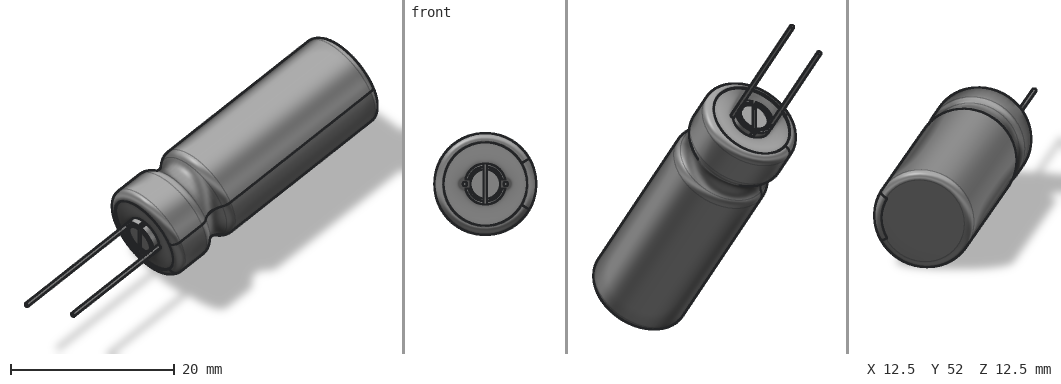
import cadquery as cq
import math

LONGEST_SIDE = 52.0

CAN_RADIUS = 6.25
LONG_LEAD_REACH = 17.65
CAN_LENGTH = LONGEST_SIDE - LONG_LEAD_REACH
EDGE_FILLET = 1.0
LIP_WIDTH = 0.15
OPENING_RADIUS = CAN_RADIUS - EDGE_FILLET - LIP_WIDTH
STRIPE_HALF_ANGLE = 30.0

CRIMP_Y = 7.05
CRIMP_DEPTH = 1.05
CRIMP_HALF_WIDTH = 2.45
NECK_HALF_WIDTH = 1.4

BASE_SETBACK = 0.2
BASE_THICKNESS = 1.05
BASE_INNER_Y = BASE_SETBACK + BASE_THICKNESS

BOSS_RADIUS = 2.5
BOSS_REACH = 0.75
BOSS_HEIGHT = BOSS_REACH + BASE_SETBACK
RING_INNER_RADIUS = 2.15
CENTRE_RADIUS = 1.8
GROOVE_DEPTH = 0.45
SLOT_WIDTH = 0.45
SLOT_FLOOR_HEIGHT = 0.1
SLOT_DEPTH = BOSS_HEIGHT - SLOT_FLOOR_HEIGHT
LEAD_NOTCH_WIDTH = 1.05

LEAD_OFFSET = 2.5
LEAD_RADIUS = 0.25
SHORT_LEAD_REACH = 14.6


def cylinder_along_y(radius, y_start, y_end):
    """Cylinder on the Y axis, from y_start up to y_end."""
    return cq.Workplane("XZ", origin=(0, y_start, 0)).circle(radius).extrude(y_start - y_end)


def can_envelope():
    """Solid of revolution with rounded ends and the crimp."""
    arc_angle = 2 * math.atan(CRIMP_DEPTH / CRIMP_HALF_WIDTH)
    neck_arc = NECK_HALF_WIDTH / math.sin(arc_angle)
    shoulder_arc = (CRIMP_HALF_WIDTH - NECK_HALF_WIDTH) / math.sin(arc_angle)
    neck_radius = CAN_RADIUS - CRIMP_DEPTH
    blend_radius = neck_radius + neck_arc * (1 - math.cos(arc_angle))

    shoulder_mid_radius = CAN_RADIUS - shoulder_arc * (1 - math.cos(arc_angle / 2))
    shoulder_mid_offset = CRIMP_HALF_WIDTH - shoulder_arc * math.sin(arc_angle / 2)

    end_radius = CAN_RADIUS - EDGE_FILLET
    fillet_inset = EDGE_FILLET * (1 - math.sqrt(0.5))
    fillet_mid_radius = CAN_RADIUS - fillet_inset

    profile = (
        cq.Workplane("XY")
        .lineTo(end_radius, 0)
        .threePointArc((fillet_mid_radius, fillet_inset), (CAN_RADIUS, EDGE_FILLET))
        .lineTo(CAN_RADIUS, CRIMP_Y - CRIMP_HALF_WIDTH)
        .threePointArc(
            (shoulder_mid_radius, CRIMP_Y - shoulder_mid_offset),
            (blend_radius, CRIMP_Y - NECK_HALF_WIDTH),
        )
        .threePointArc((neck_radius, CRIMP_Y), (blend_radius, CRIMP_Y + NECK_HALF_WIDTH))
        .threePointArc(
            (shoulder_mid_radius, CRIMP_Y + shoulder_mid_offset),
            (CAN_RADIUS, CRIMP_Y + CRIMP_HALF_WIDTH),
        )
        .lineTo(CAN_RADIUS, CAN_LENGTH - EDGE_FILLET)
        .threePointArc((fillet_mid_radius, CAN_LENGTH - fillet_inset), (end_radius, CAN_LENGTH))
        .lineTo(0, CAN_LENGTH)
        .close()
    )
    return profile.revolve(360, (0, 0, 0), (0, 1, 0))


def stripe_sector():
    """Wedge on the +X side, outside the opening radius, over the full can length."""
    wedge_x = 2 * CAN_RADIUS
    wedge_z = wedge_x * math.tan(math.radians(STRIPE_HALF_ANGLE))
    wedge = (
        cq.Workplane("XZ")
        .polyline([(0, 0), (wedge_x, -wedge_z), (wedge_x, wedge_z)])
        .close()
        .extrude(-CAN_LENGTH)
    )
    return wedge.cut(cylinder_along_y(OPENING_RADIUS, 0, CAN_LENGTH))


def make_stripe():
    return can_envelope().intersect(stripe_sector())


def make_can():
    opening = cylinder_along_y(OPENING_RADIUS, 0, BASE_INNER_Y)
    return can_envelope().cut(stripe_sector()).cut(opening)


def make_boss():
    """Disc with a ring groove, split by a slot along Z and notched beside the leads."""
    boss = cylinder_along_y(BOSS_RADIUS, -BOSS_REACH, BASE_SETBACK)
    centre = cylinder_along_y(CENTRE_RADIUS, -BOSS_REACH, BASE_SETBACK)

    groove = cylinder_along_y(RING_INNER_RADIUS, -BOSS_REACH, GROOVE_DEPTH - BOSS_REACH).cut(centre)

    notch = cq.Workplane("XY").box(2 * BOSS_RADIUS, BOSS_HEIGHT, LEAD_NOTCH_WIDTH)
    notch = notch.translate((0, BASE_SETBACK - BOSS_HEIGHT / 2, 0)).cut(centre)

    slot = cq.Workplane("XY").box(SLOT_WIDTH, SLOT_DEPTH, 2 * BOSS_RADIUS)
    slot = slot.translate((0, SLOT_DEPTH / 2 - BOSS_REACH, 0))
    return boss.cut(groove).cut(notch).cut(slot)


def make_lead(x, reach):
    """Round wire that starts at the inner face of the base."""
    return cylinder_along_y(LEAD_RADIUS, -reach, BASE_INNER_Y).translate((x, 0, 0))


def make_base(lead_bodies):
    base = cylinder_along_y(OPENING_RADIUS, BASE_SETBACK, BASE_INNER_Y).union(make_boss())
    for lead in lead_bodies:
        base = base.cut(lead)
    return base


can = make_can()
stripe = make_stripe()
leads = [
    make_lead(x, reach)
    for x, reach in [(-LEAD_OFFSET, LONG_LEAD_REACH), (LEAD_OFFSET, SHORT_LEAD_REACH)]
]
base = make_base(leads)

result = cq.Compound.makeCompound(
    [can.val(), stripe.val(), *base.vals(), *[lead.val() for lead in leads]]
)